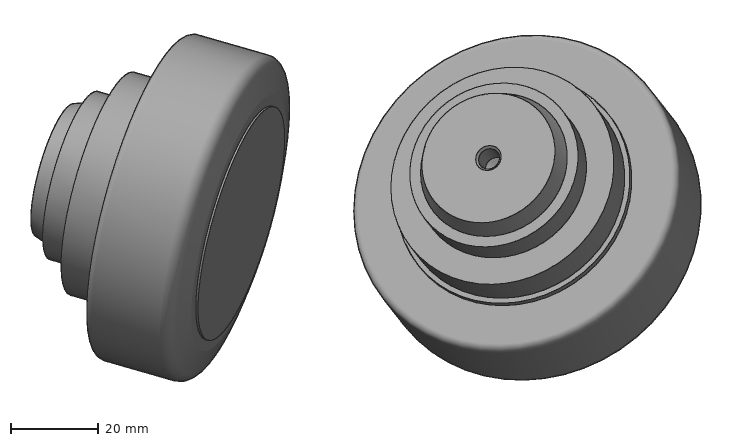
import cadquery as cq
import math

nose_cone_end = 4.5
small_step_end = 11.5
large_step_end = 20.4
wheel_start = 22.0
rear_cone_start = 43.35
rear_cone_end = 45.0
total_length = 45.5

nose_face_radius = 15.85
nose_cone_radius = 17.5
small_step_radius = 20.05
large_step_radius = 26.6
collar_radius = 27.8
wheel_radius = 38.85

rear_cone_angle = math.radians(15)

front_round = 1.55
rear_round = 2.95

hole_radius = 3.0
hole_inner_radius = 2.5
hole_chamfer = hole_radius - hole_inner_radius
hole_depth = 6.2
hole_tip_half_angle = math.radians(60)
hole_tip_depth = hole_depth + hole_inner_radius / math.tan(hole_tip_half_angle)


def make_body():
    """Revolve the stepped half profile about the X axis."""
    rear_round_start = rear_cone_start - rear_round * math.cos(rear_cone_angle)
    rear_round_center_radius = wheel_radius - rear_round
    rear_cone_large_radius = rear_round_center_radius + rear_round * math.sin(rear_cone_angle)
    rear_cone_length = rear_cone_end - rear_cone_start
    rear_cone_small_radius = rear_cone_large_radius - rear_cone_length / math.tan(rear_cone_angle)
    rear_middle_angle = (math.pi / 2 + rear_cone_angle) / 2
    diagonal = math.sqrt(0.5)
    front_arc_middle = (
        wheel_start + front_round * (1 - diagonal),
        wheel_radius - front_round * (1 - diagonal),
    )
    rear_arc_middle = (
        rear_round_start + rear_round * math.cos(rear_middle_angle),
        rear_round_center_radius + rear_round * math.sin(rear_middle_angle),
    )
    profile = (
        cq.Workplane("XY")
        .lineTo(0, nose_face_radius)
        .lineTo(nose_cone_end, nose_cone_radius)
        .lineTo(nose_cone_end, small_step_radius)
        .lineTo(small_step_end, small_step_radius)
        .lineTo(small_step_end, large_step_radius)
        .lineTo(large_step_end, large_step_radius)
        .lineTo(large_step_end, collar_radius)
        .lineTo(wheel_start, collar_radius)
        .lineTo(wheel_start, wheel_radius - front_round)
        .threePointArc(front_arc_middle, (wheel_start + front_round, wheel_radius))
        .lineTo(rear_round_start, wheel_radius)
        .threePointArc(rear_arc_middle, (rear_cone_start, rear_cone_large_radius))
        .lineTo(rear_cone_end, rear_cone_small_radius)
        .lineTo(rear_cone_end, collar_radius)
        .lineTo(total_length, collar_radius)
        .lineTo(total_length, 0)
        .close()
    )
    return profile.revolve(360, (0, 0, 0), (1, 0, 0))


def make_centre_hole():
    """Chamfered blind hole with a conical bottom."""
    profile = (
        cq.Workplane("XY")
        .lineTo(0, hole_radius)
        .lineTo(hole_chamfer, hole_inner_radius)
        .lineTo(hole_depth, hole_inner_radius)
        .lineTo(hole_tip_depth, 0)
        .close()
    )
    return profile.revolve(360, (0, 0, 0), (1, 0, 0))


result = make_body().cut(make_centre_hole())